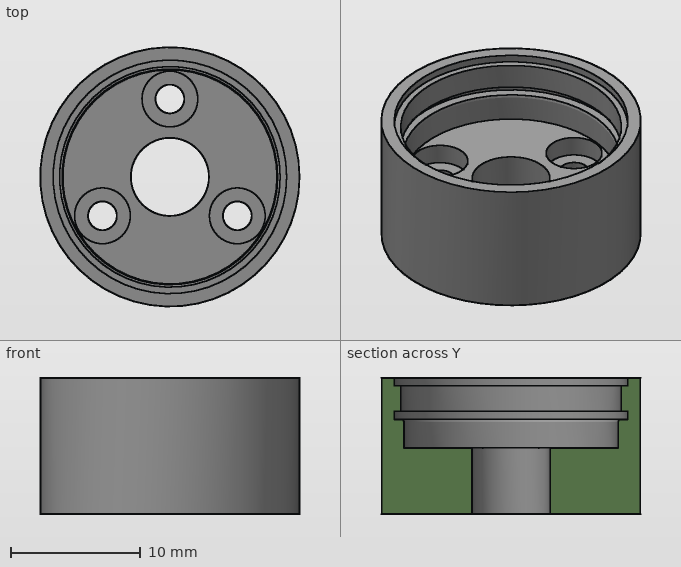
import cadquery as cq

body_diameter = 20.0
body_height = 10.5

rim_diameter = 18.0
rim_depth = 0.6
upper_bore_diameter = 17.0
groove_diameter = 18.0
groove_top_depth = 2.6
groove_bottom_depth = 3.2
lower_bore_diameter = 16.5
floor_depth = 5.4

lead_in_width = 0.05
lead_in_depth = 0.2

center_hole_diameter = 6.0
screw_count = 3
screw_circle_radius = 6.0
screw_hole_diameter = 2.2
counterbore_diameter = 4.3
counterbore_depth = 1.6
first_screw_angle = 90.0


def bore(diameter, top_depth, bottom_depth):
    """Centred cylinder between two depths below the rim."""
    return (
        cq.Workplane("XY")
        .workplane(offset=body_height - bottom_depth)
        .circle(diameter / 2)
        .extrude(bottom_depth - top_depth)
    )


def lead_in():
    """Cone that narrows from the groove floor to the lower bore."""
    bore_radius = lower_bore_diameter / 2
    top = body_height - groove_bottom_depth
    profile = [
        (0, top),
        (bore_radius + lead_in_width, top),
        (bore_radius, top - lead_in_depth),
        (0, top - lead_in_depth),
    ]
    return cq.Workplane("XZ").polyline(profile).close().revolve(360, (0, 0), (0, 1))


result = cq.Workplane("XY").circle(body_diameter / 2).extrude(body_height)

result = result.cut(bore(rim_diameter, 0, rim_depth))
result = result.cut(bore(upper_bore_diameter, rim_depth, groove_top_depth))
result = result.cut(bore(groove_diameter, groove_top_depth, groove_bottom_depth))
result = result.cut(bore(lower_bore_diameter, groove_bottom_depth, floor_depth))
result = result.cut(lead_in())

result = result.cut(bore(center_hole_diameter, floor_depth, body_height))

result = (
    result.copyWorkplane(cq.Workplane("XY", origin=(0, 0, body_height - floor_depth)))
    .polarArray(screw_circle_radius, first_screw_angle, 360, screw_count)
    .cboreHole(screw_hole_diameter, counterbore_diameter, counterbore_depth)
)